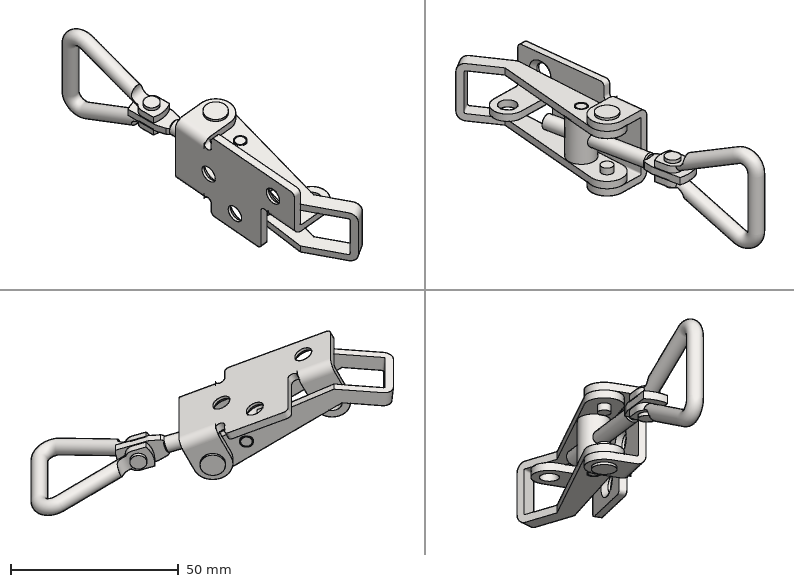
import cadquery as cq
import math


SHEET = 2.5
BEND_INNER = 0.6
BEND_OUTER = BEND_INNER + SHEET

BASE_LENGTH = 49.9
BASE_HALF_WIDTH = 16.0
BASE_CORNER = 1.5
RELIEF_WIDTH = 3.0
RELIEF_RADIUS = RELIEF_WIDTH / 2
MOUNT_HOLE_RADIUS = 2.8
MOUNT_HOLE_LAND = 0.9
COUNTERSINK_RADIUS = 4.4
MOUNT_HOLES = [(14.0, 0.0), (40.9, 9.0), (25.0, -9.0)]

EAR_WIDTH = 12.0
EAR_RADIUS = EAR_WIDTH / 2
EAR_HALF_SPAN = 12.5
EAR_RELIEF_Z = 9.9
PIVOT_X = EAR_RADIUS
PIVOT_Y = 11.1

TAB_WIDTH = 11.0
TAB_RADIUS = TAB_WIDTH / 2
TAB_TOP = 18.5
TAB_X = BASE_LENGTH - TAB_RADIUS
TAB_Y = TAB_TOP - TAB_RADIUS
TAB_HALF_THICKNESS = SHEET / 2
TAB_HOLE_RADIUS = 3.0
BASE_SHORT_LENGTH = BASE_LENGTH - TAB_WIDTH - RELIEF_WIDTH

LEVER_HALF_WIDTH = EAR_HALF_SPAN - SHEET
LEVER_INNER_HALF = LEVER_HALF_WIDTH - SHEET
KNEE_X = 49.8
KNEE_BOTTOM_Y = 2.7
KNEE_TOP_Y = 8.3
TAIL_ANGLE = 30.0
TAIL_HEIGHT = 5.0
TAIL_TIP_X = 65.3

RIVET_RADIUS = 2.1
RIVET_HEAD_RADIUS = 3.8
RIVET_HEAD_HEIGHT = 0.8
RIVET_INNER_Z = 5.1

BARREL_X = 17.8
BARREL_Y = 9.6
BARREL_RADIUS = 5.0
JOURNAL_RADIUS = 2.1
JOURNAL_CHAMFER = 0.3

ROD_TILT = 5.0
ROD_RADIUS = 2.5
ROD_START = -25.8
ROD_END = 12.8
ROD_CHAMFER = 0.5
EYE_HALF_THICKNESS = 1.3
EYE_HALF_HEIGHT = 4.0
EYE_START = -40.2
EYE_BULGE = 0.7
EYE_TAPER_START = -29.6
EYE_TAPER_END = -26.1
EYE_NECK_HALF_HEIGHT = 3.1

WIRE_RADIUS = 2.5
LOOP_BAR = -65.7
LOOP_BEND_RADIUS = 4.5
LOOP_HALF_WIDTH = 17.0
LOOP_ARM_ANGLE = 25.0
PAD_OUTER_Z = 3.7
PAD_HALF_HEIGHT = 3.8
PAD_START = -38.0
PAD_END = -30.5
PAD_BULGE = 0.8
PAD_CORNER = 3.0
FLATTENING_START = -37.4
FLATTENING_FILLET = 2.8

LOOP_PIN_POSITION = -34.3
LOOP_PIN_RADIUS = 2.5
LOOP_PIN_HALF_LENGTH = 4.9

CUT = 115.5


def z_cylinder(x, y, radius, z_low, z_high):
    """Cylinder parallel to Z between two heights."""
    return cq.Workplane("XY", origin=(x, y, z_low)).circle(radius).extrude(z_high - z_low)


def block(x_range, y_range, z_range):
    """Box given by its limits along each axis."""
    sizes = [high - low for low, high in (x_range, y_range, z_range)]
    corner = (x_range[0], y_range[0], z_range[0])
    return cq.Workplane("XY", origin=corner).box(*sizes, centered=False)


def tilted(body):
    """Move a body from rod coordinates to its place in the latch."""
    return body.rotate((0, 0, 0), (0, 0, 1), ROD_TILT).translate((BARREL_X, BARREL_Y, 0))


def flange(centre_x, centre_y, radius, z_outer, side):
    """Sheet folded up from the plate, with its outer face toward the given Z side and a round top."""
    plate_edge = z_outer - side * BEND_OUTER
    z_inner = z_outer - side * SHEET
    top = centre_y + radius
    diagonal = math.sqrt(0.5)
    outer_middle = (BEND_OUTER * (1 - diagonal), plate_edge + side * BEND_OUTER * diagonal)
    inner_middle = (BEND_OUTER - BEND_INNER * diagonal, plate_edge + side * BEND_INNER * diagonal)
    folded_strip = (
        cq.Workplane("YZ", origin=(centre_x - radius, 0, 0))
        .moveTo(0, plate_edge)
        .threePointArc(outer_middle, (BEND_OUTER, z_outer))
        .lineTo(top, z_outer)
        .lineTo(top, z_inner)
        .lineTo(BEND_OUTER, z_inner)
        .threePointArc(inner_middle, (SHEET, plate_edge))
        .close()
        .extrude(2 * radius)
    )
    round_top = (
        cq.Workplane("XY", origin=(0, 0, -CUT / 2))
        .moveTo(centre_x - radius, 0)
        .lineTo(centre_x - radius, centre_y)
        .threePointArc((centre_x, top), (centre_x + radius, centre_y))
        .lineTo(centre_x + radius, 0)
        .close()
        .extrude(CUT)
    )
    return folded_strip.intersect(round_top)


def make_base():
    """Folded base plate with two hinge ears and a padlock tab."""
    wing_x = EAR_WIDTH + RELIEF_WIDTH
    plate_depth = (0, SHEET)
    ear_fold_z = EAR_HALF_SPAN - BEND_OUTER
    tab_fold_z = BEND_OUTER - TAB_HALF_THICKNESS

    upper_wing = block((wing_x, BASE_LENGTH), plate_depth, (tab_fold_z, BASE_HALF_WIDTH))
    upper_wing = upper_wing.edges("|Y and >Z").fillet(BASE_CORNER)
    lower_wing = block((wing_x, BASE_SHORT_LENGTH), plate_depth, (-BASE_HALF_WIDTH, tab_fold_z))
    lower_wing = lower_wing.edges("|Y and <Z").fillet(BASE_CORNER)
    hinge_strip = block((0, wing_x), plate_depth, (-ear_fold_z, ear_fold_z))
    base = upper_wing.union(lower_wing).union(hinge_strip)

    ear_relief_x = EAR_WIDTH + RELIEF_RADIUS
    tab_relief_x = BASE_SHORT_LENGTH + RELIEF_RADIUS
    for side in (1, -1):
        base = base.union(relief(ear_relief_x, side * ear_fold_z, side * EAR_RELIEF_Z, side))
    base = base.union(relief(tab_relief_x, tab_fold_z, TAB_HALF_THICKNESS, -1))

    for side in (1, -1):
        base = base.union(flange(PIVOT_X, PIVOT_Y, EAR_RADIUS, side * EAR_HALF_SPAN, side))
    base = base.union(flange(TAB_X, TAB_Y, TAB_RADIUS, -TAB_HALF_THICKNESS, -1))

    for x, z in MOUNT_HOLES:
        base = base.cut(mount_hole(x, z))
    base = base.cut(z_cylinder(PIVOT_X, PIVOT_Y, RIVET_RADIUS, -CUT, CUT))
    tab_limits = (-TAB_HALF_THICKNESS, TAB_HALF_THICKNESS)
    return base.cut(z_cylinder(TAB_X, TAB_Y, TAB_HOLE_RADIUS, *tab_limits))


def relief(x, fold_z, end_z, side):
    """Plate beside a fold, ending in a hollow half round that opens toward the given Z side."""
    centre_z = end_z + side * RELIEF_RADIUS
    x_limits = (x - RELIEF_RADIUS, x + RELIEF_RADIUS)
    land = block(x_limits, (0, SHEET), sorted((fold_z, centre_z)))
    return land.cut(plate_hole(x, centre_z, RELIEF_RADIUS))


def plate_hole(x, z, radius):
    """Cutter for a round hole through the plate."""
    return cq.Workplane("XZ", origin=(x, SHEET, z)).circle(radius).extrude(SHEET)


def mount_hole(x, z):
    """Cutter for a screw hole countersunk from the plate's front face."""
    countersink = (
        cq.Workplane("XZ", origin=(x, SHEET, z))
        .circle(COUNTERSINK_RADIUS)
        .workplane(offset=SHEET - MOUNT_HOLE_LAND)
        .circle(MOUNT_HOLE_RADIUS)
        .loft()
    )
    return plate_hole(x, z, MOUNT_HOLE_RADIUS).union(countersink)


def hinge_point(angle):
    """Point on the lever's round hinge end."""
    return (PIVOT_X + EAR_RADIUS * math.cos(angle), PIVOT_Y + EAR_RADIUS * math.sin(angle))


def tangent_angle(knee_y, side):
    """Angle on the hinge end where a tangent to the knee leaves, above (1) or below (-1)."""
    dx = KNEE_X - PIVOT_X
    dy = knee_y - PIVOT_Y
    return math.atan2(dy, dx) + side * math.acos(EAR_RADIUS / math.hypot(dx, dy))


def make_lever():
    """U-shaped lever: two tapered legs joined by a folded cross wall at the end of the tail."""
    tilt = math.radians(TAIL_ANGLE)
    along = (math.cos(tilt), math.sin(tilt))
    across = (-math.sin(tilt), math.cos(tilt))
    tip_y = KNEE_BOTTOM_Y + (TAIL_TIP_X - KNEE_X) * math.tan(tilt)
    tip_top = (TAIL_TIP_X + TAIL_HEIGHT * across[0], tip_y + TAIL_HEIGHT * across[1])

    top_tangent = tangent_angle(KNEE_TOP_Y, 1)
    bottom_tangent = tangent_angle(KNEE_BOTTOM_Y, -1)
    lever_outline = (
        cq.Workplane("XY", origin=(0, 0, -LEVER_HALF_WIDTH))
        .moveTo(*hinge_point(bottom_tangent))
        .threePointArc(hinge_point(math.pi), hinge_point(top_tangent))
        .lineTo(KNEE_X, KNEE_TOP_Y)
        .lineTo(*tip_top)
        .lineTo(TAIL_TIP_X, tip_y)
        .lineTo(KNEE_X, KNEE_BOTTOM_Y)
        .close()
        .extrude(2 * LEVER_HALF_WIDTH)
    )

    tail_plane = cq.Plane(origin=(TAIL_TIP_X, tip_y, 0), xDir=(*along, 0), normal=(*across, 0))

    def tail_slab(end, half_width, corner):
        return (
            cq.Workplane(tail_plane)
            .center(end - CUT / 2, 0)
            .rect(CUT, 2 * half_width)
            .extrude(CUT, both=True)
            .edges(cq.selectors.ParallelDirSelector(cq.Vector(*across, 0)))
            .fillet(corner)
        )

    outer = tail_slab(0, LEVER_HALF_WIDTH, BEND_OUTER)
    inner = tail_slab(-SHEET, LEVER_INNER_HALF, BEND_INNER)
    lever = lever_outline.intersect(outer).cut(inner)
    lever = lever.cut(z_cylinder(PIVOT_X, PIVOT_Y, RIVET_RADIUS, -CUT, CUT))
    return lever.cut(z_cylinder(BARREL_X, BARREL_Y, JOURNAL_RADIUS, -CUT, CUT))


def make_rivet(side):
    """Pivot rivet through one ear and one lever leg, headed on the outside."""
    shank = z_cylinder(PIVOT_X, PIVOT_Y, RIVET_RADIUS, RIVET_INNER_Z, EAR_HALF_SPAN)
    head_top = EAR_HALF_SPAN + RIVET_HEAD_HEIGHT
    head = z_cylinder(PIVOT_X, PIVOT_Y, RIVET_HEAD_RADIUS, EAR_HALF_SPAN, head_top)
    rivet = shank.union(head)
    return rivet if side > 0 else rivet.mirror("XY")


def make_barrel():
    """Barrel turning in the lever legs, cross-drilled for the rod."""
    barrel = z_cylinder(0, 0, BARREL_RADIUS, -LEVER_INNER_HALF, LEVER_INNER_HALF)
    journals = z_cylinder(0, 0, JOURNAL_RADIUS, -LEVER_HALF_WIDTH, LEVER_HALF_WIDTH)
    journals = journals.faces("<Z or >Z").chamfer(JOURNAL_CHAMFER)
    rod_hole = cq.Workplane("YZ").circle(ROD_RADIUS).extrude(CUT, both=True)
    return tilted(barrel.union(journals).cut(rod_hole))


def make_rod():
    """Round rod ending in a flat eye for the loop pin."""
    rod = cq.Workplane("YZ", origin=(ROD_START, 0, 0)).circle(ROD_RADIUS).extrude(ROD_END - ROD_START)
    rod = rod.faces("<X").chamfer(ROD_CHAMFER)
    eye = (
        cq.Workplane("XY", origin=(0, 0, -EYE_HALF_THICKNESS))
        .moveTo(EYE_START, -EYE_HALF_HEIGHT)
        .lineTo(EYE_TAPER_START, -EYE_HALF_HEIGHT)
        .lineTo(EYE_TAPER_END, -EYE_NECK_HALF_HEIGHT)
        .lineTo(ROD_START + ROD_CHAMFER, -ROD_RADIUS)
        .lineTo(ROD_START + ROD_CHAMFER, ROD_RADIUS)
        .lineTo(EYE_TAPER_END, EYE_NECK_HALF_HEIGHT)
        .lineTo(EYE_TAPER_START, EYE_HALF_HEIGHT)
        .lineTo(EYE_START, EYE_HALF_HEIGHT)
        .threePointArc((EYE_START - EYE_BULGE, 0), (EYE_START, -EYE_HALF_HEIGHT))
        .close()
        .extrude(2 * EYE_HALF_THICKNESS)
    )
    return tilted(rod.union(eye).cut(loop_pin_cylinder()))


def loop_pin_cylinder():
    """Loop pin in rod coordinates."""
    return z_cylinder(
        LOOP_PIN_POSITION, 0, LOOP_PIN_RADIUS, -LOOP_PIN_HALF_LENGTH, LOOP_PIN_HALF_LENGTH
    )


def make_loop_wire():
    """Triangular round-wire loop, open at the eye."""
    bend_x = LOOP_BAR + LOOP_BEND_RADIUS
    bend_z = LOOP_HALF_WIDTH - WIRE_RADIUS - LOOP_BEND_RADIUS
    slope = math.radians(LOOP_ARM_ANGLE)

    def bend_point(angle):
        return (
            bend_x + LOOP_BEND_RADIUS * math.cos(angle),
            bend_z + LOOP_BEND_RADIUS * math.sin(angle),
        )

    bend_end_angle = math.pi / 2 - slope
    bend_end = bend_point(bend_end_angle)
    bend_middle = bend_point((bend_end_angle + math.pi) / 2)
    arm_end_z = (EYE_HALF_THICKNESS + PAD_OUTER_Z) / 2
    arm_end_x = bend_end[0] + (bend_end[1] - arm_end_z) / math.tan(slope)

    path = (
        cq.Workplane("XZ")
        .moveTo(LOOP_BAR, 0)
        .lineTo(LOOP_BAR, bend_z)
        .threePointArc(bend_middle, bend_end)
        .lineTo(arm_end_x, arm_end_z)
    )
    half = cq.Workplane("XY", origin=(LOOP_BAR, 0, 0)).circle(WIRE_RADIUS).sweep(path)
    return half.union(half.mirror("XY"))


def make_loop():
    """Pull loop with flattened pads on both sides of the eye."""
    loop = make_loop_wire()
    eye_gap = block((EYE_START - EYE_BULGE, 0), (-CUT, CUT), (-EYE_HALF_THICKNESS, EYE_HALF_THICKNESS))
    fillet_z = PAD_OUTER_Z + FLATTENING_FILLET
    flattening = (
        cq.Workplane("XZ", origin=(0, CUT / 2, 0))
        .moveTo(FLATTENING_START, PAD_OUTER_Z)
        .lineTo(0, PAD_OUTER_Z)
        .lineTo(0, LOOP_HALF_WIDTH)
        .lineTo(FLATTENING_START - FLATTENING_FILLET, LOOP_HALF_WIDTH)
        .lineTo(FLATTENING_START - FLATTENING_FILLET, fillet_z)
        .radiusArc((FLATTENING_START, PAD_OUTER_Z), -FLATTENING_FILLET)
        .close()
        .extrude(CUT)
    )
    pad = (
        cq.Workplane("XY", origin=(0, 0, EYE_HALF_THICKNESS))
        .moveTo(PAD_START, -PAD_HALF_HEIGHT)
        .lineTo(PAD_END, -PAD_HALF_HEIGHT)
        .threePointArc((PAD_END + PAD_BULGE, 0), (PAD_END, PAD_HALF_HEIGHT))
        .lineTo(PAD_START, PAD_HALF_HEIGHT)
        .close()
        .extrude(PAD_OUTER_Z - EYE_HALF_THICKNESS)
        .edges("|Z and <X")
        .fillet(PAD_CORNER)
    )
    loop = loop.cut(flattening).cut(flattening.mirror("XY")).cut(eye_gap)
    loop = loop.union(pad).union(pad.mirror("XY"))
    return tilted(loop.cut(loop_pin_cylinder()))


base = make_base()
lever = make_lever()
rivets = [make_rivet(side) for side in (1, -1)]
barrel = make_barrel()
rod = make_rod()
loop = make_loop()
loop_pin = tilted(loop_pin_cylinder())

bodies = [base, lever, *rivets, barrel, rod, loop, loop_pin]
result = cq.Compound.makeCompound([body.solids().val() for body in bodies])